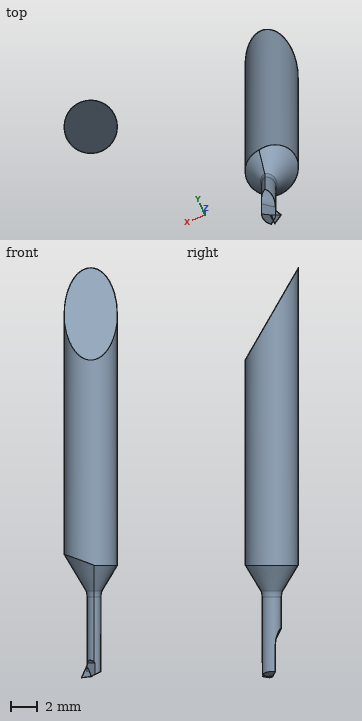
import cadquery as cq
import math

LENGTH = 30.7
SHANK_RADIUS = 2.0
TOP_ANGLE = 30.0

NECK_RADIUS = 0.77
NECK_AXIS_SHIFT = 0.5
NECK_TOP = 6.05
TAPER_START = 6.5
TAPER_ANGLE = 31.0
FLARE = 0.077
LARGE_RADIUS = 6.15

RAKE_OFFSET = 0.05
RAKE_SLOPE = 0.3
GOUGE_RISE = 0.85
GOUGE_START = 1.75
GOUGE_RADIUS = 2.92
GOUGE_ANGLE = 60.0
GOUGE_HALF_WIDTH = 1.85
GOUGE_DEPTH = 3.07

RELIEF_SUM = -0.4
RELIEF_TOP = 1.1
RELIEF_ROOF_RISE = 0.35
RELIEF_REACH = 0.2
RELIEF_DEPTH = 0.75

NECK_BOTTOM = 0.1
BOTTOM_SLOPE = 0.5

POINT_X = -0.7
ROOT_X = -0.28
ROOT_Z = 0.95
SEAT_X = 0.1
HEEL = (0.03, -0.69, NECK_BOTTOM)


def rake_y(x):
    return RAKE_OFFSET + RAKE_SLOPE * x


def coaxial_profile(axis_x):
    """Neck, curved flare, cone and open top, turned about one upright axis."""
    flare_radius = NECK_RADIUS + FLARE
    cone_height = (LARGE_RADIUS - flare_radius) / math.tan(math.radians(TAPER_ANGLE))
    return (
        cq.Workplane("XZ")
        .moveTo(0, NECK_BOTTOM)
        .lineTo(NECK_RADIUS, NECK_BOTTOM)
        .lineTo(NECK_RADIUS, NECK_TOP)
        .tangentArcPoint((flare_radius, TAPER_START), relative=False)
        .lineTo(LARGE_RADIUS, TAPER_START + cone_height)
        .lineTo(LARGE_RADIUS, LENGTH)
        .lineTo(0, LENGTH)
        .close()
        .revolve(360, (0, 0, 0), (0, 1, 0))
        .translate((axis_x, 0, 0))
    )


def slanted_shank():
    slant_drop = 2 * SHANK_RADIUS / math.tan(math.radians(TOP_ANGLE))
    shank = cq.Workplane("XY").circle(SHANK_RADIUS).extrude(LENGTH)
    above_slant = (
        cq.Workplane("YZ")
        .polyline([(-SHANK_RADIUS, LENGTH - slant_drop), (SHANK_RADIUS, LENGTH), (-SHANK_RADIUS, LENGTH)])
        .close()
        .extrude(SHANK_RADIUS, both=True)
    )
    return shank.cut(above_slant)


def gouge():
    """Space in front of the rake plane, swept along a slanted line with an arc at its top."""
    start_x = -GOUGE_HALF_WIDTH
    floor_y = rake_y(start_x)
    floor_z = GOUGE_START + GOUGE_RISE * start_x

    def arc_point(degrees):
        angle = math.radians(degrees)
        return (
            floor_y + GOUGE_RADIUS * (1 - math.cos(angle)),
            floor_z + GOUGE_RADIUS * math.sin(angle),
        )

    arc_end = arc_point(GOUGE_ANGLE)
    below = floor_z - 2 * GOUGE_HALF_WIDTH
    profile = (
        cq.Workplane("YZ", origin=(start_x, 0, 0))
        .moveTo(floor_y, below)
        .lineTo(floor_y, floor_z)
        .threePointArc(arc_point(GOUGE_ANGLE / 2), arc_end)
        .lineTo(floor_y + GOUGE_DEPTH, arc_end[1])
        .lineTo(floor_y + GOUGE_DEPTH, below)
        .close()
    )
    face = cq.Face.makeFromWires(profile.val())
    width = 2 * GOUGE_HALF_WIDTH
    sweep = cq.Vector(width, RAKE_SLOPE * width, GOUGE_RISE * width)
    return cq.Workplane(obj=cq.Solid.extrudeLinear(face, sweep))


def relief():
    """Flat-walled pocket facing -X and -Y, with a roof that rises outwards."""
    half = RELIEF_SUM / 2
    plane = cq.Plane(origin=(half, half, 0), xDir=(-1, -1, 0), normal=(-1, 1, 0))
    return (
        cq.Workplane(plane)
        .polyline([
            (0, 0),
            (0, RELIEF_TOP),
            (RELIEF_REACH, RELIEF_TOP + RELIEF_ROOF_RISE),
            (RELIEF_DEPTH, RELIEF_TOP + RELIEF_ROOF_RISE),
            (RELIEF_DEPTH, 0),
        ])
        .close()
        .extrude(2 * NECK_RADIUS, both=True)
    )


def underside():
    reach = 2 * NECK_RADIUS
    return (
        cq.Workplane("XZ")
        .polyline([(0, NECK_BOTTOM), (reach, NECK_BOTTOM + BOTTOM_SLOPE * reach), (reach, NECK_BOTTOM)])
        .close()
        .extrude(reach, both=True)
    )


def make_bar():
    taper = coaxial_profile(0).intersect(coaxial_profile(NECK_AXIS_SHIFT))
    return slanted_shank().intersect(taper).cut(gouge()).cut(relief()).cut(underside())


def make_cutting_tip(bar):
    """Four-cornered wedge on the relief face, with one side in the rake plane."""
    root = (ROOT_X, rake_y(ROOT_X), ROOT_Z)
    point = (POINT_X, rake_y(POINT_X), 0)
    seat = (SEAT_X, rake_y(SEAT_X), NECK_BOTTOM)
    sides = [(root, point, seat), (root, point, HEEL), (root, seat, HEEL), (point, seat, HEEL)]
    faces = [cq.Face.makeFromWires(cq.Wire.makePolygon(side, close=True)) for side in sides]
    wedge = cq.Solid.makeSolid(cq.Shell.makeShell(faces))
    return cq.Workplane(obj=wedge.fix()).cut(bar)


bar = make_bar()
cutting_tip = make_cutting_tip(bar)
result = cq.Compound.makeCompound([bar.solids().val(), cutting_tip.solids().val()])